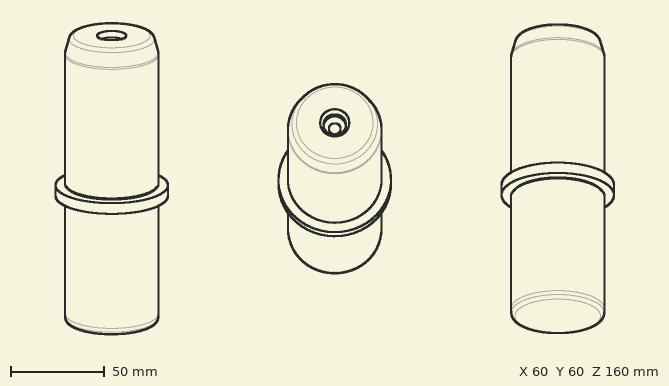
import cadquery as cq
import math

length = 160.0
shank_radius = 25.0

collar_radius = 30.0
collar_bottom = 70.0
collar_thickness = 6.0
collar_top = collar_bottom + collar_thickness

groove_width = 1.0
groove_depth = 1.0
groove_radius = shank_radius - groove_depth

lead_in_length = 4.0
lead_in_angle = math.radians(5.0)
lead_in_foot_radius = shank_radius - lead_in_length * math.tan(lead_in_angle)
bottom_round = 2.0

taper_length = 10.0
taper_angle = math.radians(15.0)
taper_tip_radius = shank_radius - taper_length * math.tan(taper_angle)
tip_round = 2.5
taper_blend_radius = 4.0

mouth_radius = 7.75
bore_radius = 6.0
floor_radius = 3.15
mouth_half_angle = math.radians(30.0)
bottom_half_angle = math.radians(45.0)
bore_length = 3.0
bore_top = length - (mouth_radius - bore_radius) / math.tan(mouth_half_angle)
bore_bottom = bore_top - bore_length
floor_level = bore_bottom - (bore_radius - floor_radius) / math.tan(bottom_half_angle)

selection_tolerance = 0.01


def make_pin():
    """Shank, collar, grooves, lead-in and taper as one revolved profile."""
    profile = (
        cq.Workplane("XZ")
        .moveTo(0, 0)
        .lineTo(lead_in_foot_radius, 0)
        .lineTo(shank_radius, lead_in_length)
        .lineTo(shank_radius, collar_bottom - groove_width)
        .lineTo(groove_radius, collar_bottom)
        .lineTo(collar_radius, collar_bottom)
        .lineTo(collar_radius, collar_top)
        .lineTo(groove_radius, collar_top)
        .lineTo(shank_radius, collar_top + groove_width)
        .lineTo(shank_radius, length - taper_length)
        .lineTo(taper_tip_radius, length)
        .lineTo(0, length)
        .close()
    )
    return profile.revolve(360, (0, 0, 0), (0, 1, 0))


def round_ends(pin):
    """Round both end edges and blend the taper into the shank."""
    rounded = pin.faces(">Z").edges().fillet(tip_round)
    rounded = rounded.faces("<Z").edges().fillet(bottom_round)
    blend_level = length - taper_length
    blend_edge = cq.selectors.BoxSelector(
        (-collar_radius, -collar_radius, blend_level - selection_tolerance),
        (collar_radius, collar_radius, blend_level + selection_tolerance),
        boundingbox=True,
    )
    return rounded.edges(blend_edge).fillet(taper_blend_radius)


def make_centre_hole():
    """Flared mouth, straight bore and conical bottom with a flat floor."""
    profile = (
        cq.Workplane("XZ")
        .moveTo(0, length)
        .lineTo(mouth_radius, length)
        .lineTo(bore_radius, bore_top)
        .lineTo(bore_radius, bore_bottom)
        .lineTo(floor_radius, floor_level)
        .lineTo(0, floor_level)
        .close()
    )
    return profile.revolve(360, (0, 0, 0), (0, 1, 0))


result = round_ends(make_pin()).cut(make_centre_hole())